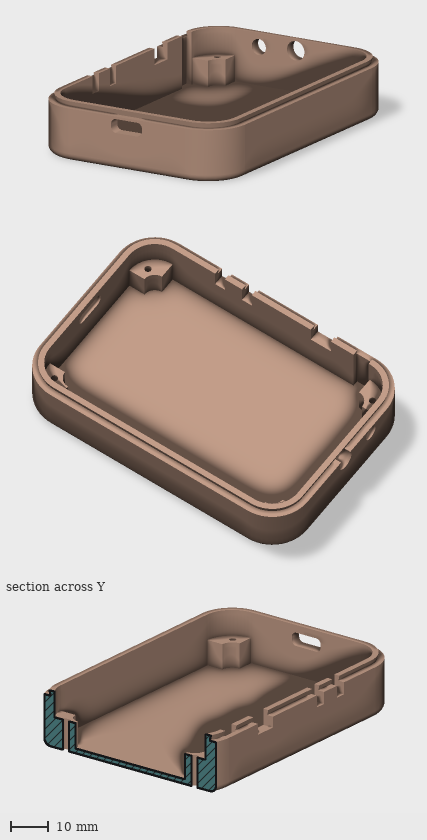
import cadquery as cq
import math

LENGTH_X = 59.2
LENGTH_Y = 86.7
HEIGHT = 16.0
CORNER_RADIUS = 11.4
BOTTOM_FILLET = 2.0
WALL = 3.2
FLOOR = 1.5

LIP_HEIGHT = 1.5
LIP_TOP_INSET = 1.55
LIP_ROOT_INSET = 1.9
LEDGE_Z = HEIGHT - LIP_HEIGHT

PILLAR_TOP_Z = 8.7
PILLAR_RELIEF_RADIUS = 3.3
SCREW_DIAMETER = 1.9
SCREW_SPACING_X = 42.8
SCREW_SPACING_Y = 72.8

SIDE_NOTCHES = [
    (16.1, 6.5, 11.4),
    (-7.85, 3.15, 11.1),
    (-16.6, 3.15, 11.1),
]

RECESS_CENTRE_Y = 29.15
RECESS_WIDTH = 4.9

SLOT_LENGTH = 9.6
SLOT_HEIGHT = 3.8
SLOT_X = -0.2
SLOT_Z = 11.9
SLOT_CORNER_RADIUS = 1.5

BACK_HOLES = [
    (0.7, 12.8, 5.4),
    (-10.8, 12.1, 4.4),
]

CUT_MARGIN = 1.0


def rounded_block(inset, bottom_z, top_z, taper=0):
    """Rounded block whose bottom outline is set in from the outer walls."""
    outline = (
        cq.Sketch()
        .rect(LENGTH_X - 2 * inset, LENGTH_Y - 2 * inset)
        .vertices()
        .fillet(CORNER_RADIUS - inset)
    )
    return (
        cq.Workplane("XY", origin=(0, 0, bottom_z))
        .placeSketch(outline)
        .extrude(top_z - bottom_z, taper=taper)
    )


def wall_cutter_box(inner_x, outer_x, centre_y, width, bottom_z):
    """Box from bottom_z up past the rim, for cutting into the -X wall."""
    return cq.Workplane("XY").box(
        inner_x - outer_x,
        width,
        HEIGHT + CUT_MARGIN - bottom_z,
        centered=(False, True, False),
    ).translate((outer_x, centre_y, bottom_z))


def make_shell():
    """Tray with a rounded bottom edge and an undercut lip."""
    body = rounded_block(0, 0, LEDGE_Z).faces("<Z").edges().fillet(BOTTOM_FILLET)
    lip_flare = math.degrees(math.atan2(LIP_ROOT_INSET - LIP_TOP_INSET, LIP_HEIGHT))
    lip = rounded_block(LIP_ROOT_INSET, LEDGE_Z, HEIGHT, taper=-lip_flare)
    return body.union(lip).cut(rounded_block(WALL, FLOOR, HEIGHT + CUT_MARGIN))


def make_pillars():
    """Corner blocks that follow the cavity wall, each relieved by a concave arc."""
    pillars = rounded_block(WALL, FLOOR, PILLAR_TOP_Z)
    inner_x = LENGTH_X - 2 * CORNER_RADIUS
    inner_y = LENGTH_Y - 2 * CORNER_RADIUS
    base = cq.Workplane("XY", origin=(0, 0, FLOOR))
    pillar_height = PILLAR_TOP_Z - FLOOR
    clearance = (
        base.rect(inner_x, LENGTH_Y).extrude(pillar_height)
        .union(base.rect(LENGTH_X, inner_y).extrude(pillar_height))
    )
    reliefs = (
        base.rect(inner_x, inner_y, forConstruction=True)
        .vertices()
        .circle(PILLAR_RELIEF_RADIUS)
        .extrude(pillar_height)
    )
    return pillars.cut(clearance).cut(reliefs)


def make_screw_holes():
    """Holes through the pillars and the floor."""
    return (
        cq.Workplane("XY")
        .rect(SCREW_SPACING_X, SCREW_SPACING_Y, forConstruction=True)
        .vertices()
        .circle(SCREW_DIAMETER / 2)
        .extrude(PILLAR_TOP_Z)
    )


def make_side_cuts():
    """Connector notches through the -X wall and the recess on its inner face."""
    outer_x = -LENGTH_X / 2
    inner_x = outer_x + WALL
    cuts = wall_cutter_box(
        inner_x, outer_x + LIP_TOP_INSET, RECESS_CENTRE_Y, RECESS_WIDTH, FLOOR
    )
    for centre_y, width, bottom_z in SIDE_NOTCHES:
        cuts = cuts.union(wall_cutter_box(inner_x, outer_x, centre_y, width, bottom_z))
    return cuts


def make_front_slot():
    """Rounded slot through the -Y wall."""
    return (
        cq.Workplane("XZ", origin=(SLOT_X, -LENGTH_Y / 2, SLOT_Z))
        .rect(SLOT_LENGTH, SLOT_HEIGHT)
        .extrude(-WALL)
        .edges("|Y")
        .fillet(SLOT_CORNER_RADIUS)
    )


def make_back_holes():
    """Round holes through the +Y wall."""
    holes = cq.Workplane("XY")
    for x, z, diameter in BACK_HOLES:
        hole = (
            cq.Workplane("XZ", origin=(x, LENGTH_Y / 2, z))
            .circle(diameter / 2)
            .extrude(WALL)
        )
        holes = holes.add(hole)
    return holes.combine()


result = (
    make_shell()
    .union(make_pillars())
    .cut(make_screw_holes())
    .cut(make_side_cuts())
    .cut(make_front_slot())
    .cut(make_back_holes())
)